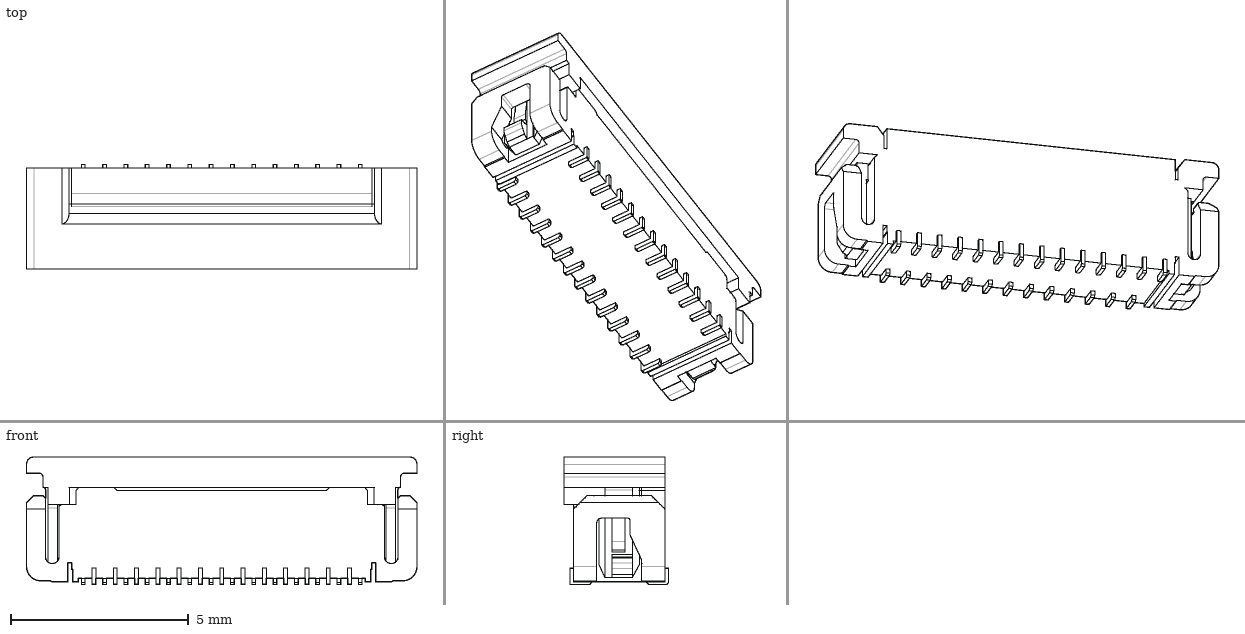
import cadquery as cq


LENGTH = 11.0
HEIGHT = 3.6
HALF = LENGTH / 2
HOUSING_DEPTH = 2.58
SLIDER_DEPTH = 2.85

PAD_BOTTOM = 0.08
END_BOTTOM = 0.105
LEAD_BOTTOM = 0.18
STEP_TOP = 2.25
END_WALL_TOP = 2.51
CORE_TOP = 2.74
CORE_HALF = 4.1
CORE_CHAMFER = 0.082
REAR_WALL_DEPTH = 0.66
LEAD_ZONE_HALF = 4.04
PAD_END = 4.78
END_CORNER_RADIUS = 0.41
END_TOP_CHAMFER = 0.2
END_INNER_CHAMFER = 0.072
END_SIDE_CHAMFER = 0.38
GUIDE_SIZE = 0.2
GUIDE_FRONT = -2.0
GUIDE_REAR = -0.72

SLOT_OUTER = 4.96
SLOT_INNER = 4.59
SLOT_BOTTOM = 0.59
SLOT_LEAD_IN = 0.07
SLIT_OUTER = 4.33
SLIT_INNER = 4.22
SLIT_FOOT_INNER = 4.2
SLIT_FOOT_TOP = 0.43
SLIT_TOP = 0.62

WINDOW_FRONT = -1.92
WINDOW_REAR = -0.99
WINDOW_REAR_FOOT = -0.66
WINDOW_TOP = 1.87
WINDOW_SLOPE_TOP = 1.41
WINDOW_SLOPE_FOOT = 0.69
WINDOW_FRONT_RADIUS = 0.13
WINDOW_REAR_RADIUS = 0.05

NOTCH_TOP_HALF = 3.04
NOTCH_DEPTH = 0.09

FLANGE_BOTTOM = 3.14
FLANGE_RADIUS = 0.21
NECK_HALF = 5.04
NECK_RADIUS = 0.1
POCKET_TOP_HALF = 4.5
POCKET_HALF = 4.3
POCKET_FRONT = -1.29
POCKET_BEVEL_DEPTH = 0.26
POCKET_BEVEL_RUN = 0.3
POCKET_BEVEL_RADIUS = 0.31
POCKET_FLOOR = 2.85

BAR_HALF = 4.22
BAR_TOP = 3.56
BAR_FRONT = -1.01
BAR_RADIUS = 0.3
BAR_FOOT_RADIUS = 0.08
BAR_SHELF_TOP = 2.96

LEG_OUTER = 4.9
LEG_INNER = 4.29
LEG_REAR = -0.73
COLUMN_INNER = 4.62
COLUMN_FRONT = -1.86
COLUMN_BOTTOM = 0.2
COLUMN_TAPER_TOP = 0.56
LEG_FILLET = 0.1
LATCH_FRONT = -1.69
LATCH_REAR = -0.92
LATCH_FLARE = NECK_HALF - SLOT_OUTER
HOOK_FRONT = -1.5
HOOK_REACH = 0.3
HOOK_ROOT_TOP = 0.85
HOOK_CREST = 0.78
HOOK_ROOT_RUN = 0.1
HOOK_LEDGE = 0.75
HOOK_NOSE_BOTTOM = 0.62
HOOK_NOSE_RADIUS = 0.24
HOOK_RAMP_TOP = 0.45
HOOK_RAMP_BOTTOM = 0.29
HOOK_NOSE_INSET = 0.07
HOOK_HEEL = 0.13
RIB_REAR = -1.12
RIB_REACH = 0.09
RIB_BOTTOM = 0.91
RIB_UNDERCUT = 0.07
RIB_SHOULDER = 1.21

REAR_LEADS = 14
FRONT_LEADS = REAR_LEADS - 1
REAR_ROW_SPAN = 7.8
LEAD_PITCH = REAR_ROW_SPAN / (REAR_LEADS - 1)
LEAD_WIDTH = 0.11
LEAD_TOP = 0.46
LEAD_REACH = 0.1
LEAD_FOOT = 0.62
LEAD_TOE_CHAMFER = 0.05
REAR_HEEL_CHAMFER = 0.05
FRONT_HEEL_CHAMFER = 0.02


def box(x0, x1, y0, y1, z0, z1):
    """Axis-aligned block between the given limits."""
    return cq.Workplane("XY").box(x1 - x0, y1 - y0, z1 - z0, centered=False).translate((x0, y0, z0))


def along_y(sketch, y_front, y_rear):
    """Extrude an XZ outline from y_front back to y_rear."""
    return sketch.extrude(-(y_rear - y_front)).translate((0, y_front, 0))


def along_x(sketch, x0, x1):
    """Extrude a YZ outline from x0 to x1."""
    return sketch.extrude(x1 - x0).translate((x0, 0, 0))


def polygon(plane, points):
    return cq.Workplane(plane).polyline(points).close()


def both_ends(left):
    """Join a left-end feature with its mirror image at the right end."""
    return left.union(left.mirror("YZ"))


def end_wall():
    """Left end of the housing, before the slot and window are cut."""
    outline = polygon("XZ", [
        (-HALF, END_BOTTOM),
        (-PAD_END - (END_BOTTOM - PAD_BOTTOM), END_BOTTOM),
        (-PAD_END, PAD_BOTTOM),
        (-SLOT_INNER, PAD_BOTTOM),
        (-SLOT_INNER, STEP_TOP),
        (-SLOT_OUTER, STEP_TOP),
        (-SLOT_OUTER, END_WALL_TOP - END_INNER_CHAMFER),
        (-SLOT_OUTER - END_INNER_CHAMFER, END_WALL_TOP),
        (-HALF + END_TOP_CHAMFER, END_WALL_TOP),
        (-HALF, END_WALL_TOP - END_TOP_CHAMFER),
    ])
    wall = along_y(outline, -HOUSING_DEPTH, 0)
    lower_corner = cq.selectors.NearestToPointSelector((-HALF, -HOUSING_DEPTH / 2, END_BOTTOM))
    wall = wall.edges(lower_corner).fillet(END_CORNER_RADIUS)
    shoulder = END_WALL_TOP - END_SIDE_CHAMFER
    side_outline = polygon("YZ", [
        (-HOUSING_DEPTH, 0),
        (0, 0),
        (0, shoulder),
        (-END_SIDE_CHAMFER, END_WALL_TOP),
        (-HOUSING_DEPTH + END_SIDE_CHAMFER, END_WALL_TOP),
        (-HOUSING_DEPTH, shoulder),
    ])
    bevelled_part = along_x(side_outline, -HALF, -SLOT_OUTER)
    slot_part = box(-SLOT_OUTER, -SLOT_INNER, -HOUSING_DEPTH, 0, 0, HEIGHT)
    return wall.intersect(bevelled_part.union(slot_part))


def end_slot():
    """Round-bottomed slot that frees the end wall from the core."""
    radius = (SLOT_OUTER - SLOT_INNER) / 2
    outline = (
        cq.Workplane("XZ")
        .moveTo(-SLOT_OUTER, HEIGHT)
        .lineTo(-SLOT_OUTER, SLOT_BOTTOM + radius)
        .threePointArc((-SLOT_OUTER + radius, SLOT_BOTTOM), (-SLOT_INNER, SLOT_BOTTOM + radius))
        .lineTo(-SLOT_INNER, STEP_TOP - SLOT_LEAD_IN)
        .lineTo(-SLOT_INNER + SLOT_LEAD_IN, STEP_TOP)
        .lineTo(-SLOT_INNER + SLOT_LEAD_IN, HEIGHT)
        .close()
    )
    return along_y(outline, -HOUSING_DEPTH, 0)


def relief_slit():
    outline = polygon("XZ", [
        (-SLIT_OUTER, 0),
        (-SLIT_OUTER, SLIT_TOP),
        (-SLIT_INNER, SLIT_TOP),
        (-SLIT_INNER, SLIT_FOOT_TOP),
        (-SLIT_FOOT_INNER, SLIT_FOOT_TOP),
        (-SLIT_FOOT_INNER, 0),
    ])
    return along_y(outline, -HOUSING_DEPTH, 0)


def latch_guide():
    """Bevel on the inner top edge of the end wall that leads the latch into the slot."""
    outline = polygon("XZ", [
        (-SLOT_OUTER, END_WALL_TOP - GUIDE_SIZE),
        (-SLOT_OUTER - GUIDE_SIZE, END_WALL_TOP),
        (-SLOT_OUTER, END_WALL_TOP),
    ])
    return along_y(outline, GUIDE_FRONT, GUIDE_REAR)


def end_window():
    """Opening through the end wall, open at the bottom and wider at its rear foot."""
    outline = polygon("YZ", [
        (WINDOW_FRONT, 0),
        (WINDOW_FRONT, WINDOW_TOP),
        (WINDOW_REAR, WINDOW_TOP),
        (WINDOW_REAR, WINDOW_SLOPE_TOP),
        (WINDOW_REAR_FOOT, WINDOW_SLOPE_FOOT),
        (WINDOW_REAR_FOOT, 0),
    ])
    window = along_x(outline, -HALF, -SLOT_INNER)
    middle = -(HALF + SLOT_INNER) / 2
    for y, radius in ((WINDOW_FRONT, WINDOW_FRONT_RADIUS), (WINDOW_REAR, WINDOW_REAR_RADIUS)):
        corner = cq.selectors.NearestToPointSelector((middle, y, WINDOW_TOP))
        window = window.edges(corner).fillet(radius)
    return window


def make_housing():
    core = box(-CORE_HALF, CORE_HALF, -HOUSING_DEPTH, 0, LEAD_BOTTOM, CORE_TOP)
    core = core.edges("|Y and >Z").chamfer(CORE_CHAMFER)
    shoulder = box(-SLOT_INNER, -LEAD_ZONE_HALF, -HOUSING_DEPTH, 0, PAD_BOTTOM, STEP_TOP)
    ends = end_wall().union(shoulder)
    for opening in (end_slot(), relief_slit(), latch_guide(), end_window()):
        ends = ends.cut(opening)
    rear_wall = box(-SLOT_INNER, SLOT_INNER, -REAR_WALL_DEPTH, 0, STEP_TOP - SLOT_LEAD_IN, CORE_TOP)
    rear_wall = rear_wall.edges("|Y and >Z").chamfer(CORE_CHAMFER)
    notch = polygon("XZ", [
        (-NOTCH_TOP_HALF, CORE_TOP),
        (-NOTCH_TOP_HALF + NOTCH_DEPTH, CORE_TOP - NOTCH_DEPTH),
        (NOTCH_TOP_HALF - NOTCH_DEPTH, CORE_TOP - NOTCH_DEPTH),
        (NOTCH_TOP_HALF, CORE_TOP),
    ])
    front_notch = along_y(notch, -HOUSING_DEPTH, -HOUSING_DEPTH + NOTCH_DEPTH)
    return core.cut(front_notch).union(rear_wall).union(both_ends(ends))


def slider_frame():
    """Flanged U-shaped frame with a bevelled pocket open to the rear."""
    flange = box(-HALF, HALF, -SLIDER_DEPTH, 0, FLANGE_BOTTOM, HEIGHT)
    flange = flange.edges("|Y and >Z").fillet(FLANGE_RADIUS)
    neck = box(-NECK_HALF, NECK_HALF, -SLIDER_DEPTH, 0, CORE_TOP, FLANGE_BOTTOM)
    frame = flange.union(neck)
    for side in (-1, 1):
        corner = cq.selectors.NearestToPointSelector((side * NECK_HALF, -SLIDER_DEPTH / 2, FLANGE_BOTTOM))
        frame = frame.edges(corner).fillet(NECK_RADIUS)

    bevel_bottom = HEIGHT - POCKET_BEVEL_DEPTH
    flared_ends = along_y(polygon("XZ", [
        (-POCKET_HALF, CORE_TOP),
        (-POCKET_HALF, bevel_bottom),
        (-POCKET_TOP_HALF, HEIGHT),
        (POCKET_TOP_HALF, HEIGHT),
        (POCKET_HALF, bevel_bottom),
        (POCKET_HALF, CORE_TOP),
    ]), -SLIDER_DEPTH, 0)
    rounded_front = along_x(
        cq.Workplane("YZ")
        .moveTo(0, CORE_TOP)
        .lineTo(POCKET_FRONT, CORE_TOP)
        .lineTo(POCKET_FRONT, bevel_bottom)
        .radiusArc((POCKET_FRONT - POCKET_BEVEL_RUN, HEIGHT), POCKET_BEVEL_RADIUS)
        .lineTo(0, HEIGHT)
        .close(),
        -HALF, HALF)
    return frame.cut(flared_ends.intersect(rounded_front))


def slider_bar():
    """Round-fronted bar, with the low shelf and floor that join it to the frame."""
    outline = (
        cq.Workplane("YZ")
        .moveTo(0, CORE_TOP)
        .lineTo(0, BAR_TOP)
        .lineTo(BAR_FRONT + BAR_RADIUS, BAR_TOP)
        .radiusArc((BAR_FRONT, BAR_TOP - BAR_RADIUS), -BAR_RADIUS)
        .lineTo(BAR_FRONT, POCKET_FLOOR + BAR_FOOT_RADIUS)
        .radiusArc((BAR_FRONT - BAR_FOOT_RADIUS, POCKET_FLOOR), BAR_FOOT_RADIUS)
        .lineTo(BAR_FRONT - BAR_FOOT_RADIUS, CORE_TOP)
        .close()
    )
    floor = box(-POCKET_HALF, POCKET_HALF, POCKET_FRONT, BAR_FRONT, CORE_TOP, POCKET_FLOOR)
    shelf = box(-POCKET_HALF, POCKET_HALF, BAR_FRONT, 0, CORE_TOP, BAR_SHELF_TOP)
    return along_x(outline, -BAR_HALF, BAR_HALF).union(floor).union(shelf)


def latch():
    """Left leg with its column, outer latch pad, hook and rib."""
    leg = box(-LEG_OUTER, -LEG_INNER, -SLIDER_DEPTH, LEG_REAR, STEP_TOP, CORE_TOP)
    column = along_x(
        cq.Workplane("YZ")
        .moveTo(LEG_REAR, CORE_TOP)
        .lineTo(LEG_REAR, COLUMN_TAPER_TOP)
        .lineTo(LATCH_REAR, COLUMN_BOTTOM)
        .lineTo(LATCH_FRONT, COLUMN_BOTTOM)
        .lineTo(COLUMN_FRONT, COLUMN_TAPER_TOP)
        .lineTo(COLUMN_FRONT, STEP_TOP - LEG_FILLET)
        .radiusArc((COLUMN_FRONT - LEG_FILLET, STEP_TOP), -LEG_FILLET)
        .lineTo(COLUMN_FRONT - LEG_FILLET, CORE_TOP)
        .close(),
        -LEG_OUTER, -COLUMN_INNER)
    pad = along_y(
        cq.Workplane("XZ")
        .moveTo(-LEG_OUTER, COLUMN_BOTTOM)
        .lineTo(-SLOT_OUTER, COLUMN_BOTTOM)
        .lineTo(-SLOT_OUTER, CORE_TOP - LATCH_FLARE)
        .radiusArc((-SLOT_OUTER - LATCH_FLARE, CORE_TOP), -LATCH_FLARE)
        .lineTo(-LEG_OUTER, CORE_TOP)
        .close(),
        LATCH_FRONT, LATCH_REAR)
    hook_tip = -SLOT_OUTER - HOOK_REACH
    hook = along_y(
        cq.Workplane("XZ")
        .moveTo(-SLOT_OUTER, HOOK_ROOT_TOP)
        .lineTo(-SLOT_OUTER - HOOK_ROOT_RUN, HOOK_CREST)
        .lineTo(hook_tip, HOOK_LEDGE)
        .lineTo(hook_tip, HOOK_NOSE_BOTTOM)
        .radiusArc((hook_tip + HOOK_NOSE_INSET, HOOK_RAMP_TOP), -HOOK_NOSE_RADIUS)
        .lineTo(-SLOT_OUTER - HOOK_HEEL, HOOK_RAMP_BOTTOM)
        .lineTo(-SLOT_OUTER, COLUMN_BOTTOM)
        .close(),
        HOOK_FRONT, LATCH_REAR)
    rib_tip = -SLOT_OUTER - RIB_REACH
    rib = along_y(polygon("XZ", [
        (-SLOT_OUTER, WINDOW_TOP),
        (rib_tip, RIB_SHOULDER),
        (rib_tip, RIB_BOTTOM + RIB_UNDERCUT),
        (-SLOT_OUTER, RIB_BOTTOM),
    ]), HOOK_FRONT, RIB_REAR)
    return leg.union(column).union(pad).union(hook).union(rib)


def make_slider():
    return slider_frame().union(slider_bar()).union(both_ends(latch()))


def make_lead(heel_chamfer):
    """L-shaped lead with its heel on the rear wall, centred on X = 0."""
    outline = polygon("YZ", [
        (0, LEAD_TOP),
        (LEAD_REACH, LEAD_TOP),
        (LEAD_REACH, heel_chamfer),
        (LEAD_REACH - heel_chamfer, 0),
        (LEAD_REACH - LEAD_FOOT + LEAD_TOE_CHAMFER, 0),
        (LEAD_REACH - LEAD_FOOT, LEAD_TOE_CHAMFER),
        (LEAD_REACH - LEAD_FOOT, LEAD_BOTTOM),
        (0, LEAD_BOTTOM),
    ])
    return along_x(outline, -LEAD_WIDTH / 2, LEAD_WIDTH / 2)


def lead_row(lead, count):
    """Evenly pitched row of leads centred on X = 0."""
    first = -LEAD_PITCH * (count - 1) / 2
    return [lead.translate((first + LEAD_PITCH * index, 0, 0)) for index in range(count)]


rear_lead = make_lead(REAR_HEEL_CHAMFER)
front_lead = make_lead(FRONT_HEEL_CHAMFER).mirror("XZ").translate((0, -HOUSING_DEPTH, 0))

result = make_housing().union(make_slider())
for lead in lead_row(rear_lead, REAR_LEADS) + lead_row(front_lead, FRONT_LEADS):
    result = result.union(lead)